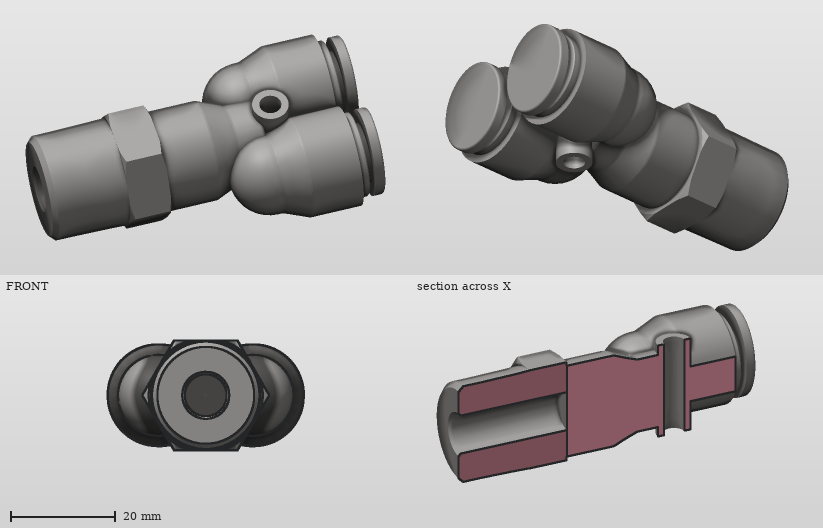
import cadquery as cq
import math


thread_length = 15.0
thread_base_diameter = 20.95
thread_taper = 1 / 32
thread_chamfer_length = 1.0
thread_chamfer_depth = 1.0
bore_diameter = 8.0
bore_chamfer = 0.5
hex_across_flats = 21.0
hex_length = 8.1
hex_chamfer_diameter = 21.8
hex_chamfer_angle = 25.0

barrel_diameter = 19.5
neck_diameter = 15.5
branch_offset = 9.0
barrel_length = 10.0
cone_length = 5.0
stem_neck_length = 5.8
stem_neck_fillet = 0.8
branch_neck_length = 1.0
blend_radius = 1.0
dome_above_stem_cone = 5.0
boss_diameter = 7.0
boss_hole_diameter = 4.2
boss_above_dome = 2.9

ring_diameter = 16.5
ring_length = 1.7
ring_chamfer = 0.2
collar_neck_diameter = 11.7
collar_neck_length = 1.2
flange_width = 16.0
flange_height = 18.5
flange_length = 2.0
flange_fillet = 0.4

housing_start = thread_length + hex_length
stem_cone_start = housing_start + barrel_length
stem_neck_start = stem_cone_start + cone_length
dome_centre = stem_neck_start + dome_above_stem_cone
branch_cone_start = dome_centre + branch_neck_length
branch_barrel_start = branch_cone_start + cone_length
housing_end = branch_barrel_start + barrel_length
ring_end = housing_end + ring_length
flange_start = ring_end + collar_neck_length


def revolve_about_y(profile):
    """Close a half profile drawn in XY and turn it about the Y axis."""
    return profile.close().revolve(360, (0, 0, 0), (0, 1, 0))


def disc(diameter, start, length):
    """Cylinder on the Y axis that begins at Y = start."""
    plane = cq.Plane(origin=(0, start, 0), xDir=(1, 0, 0), normal=(0, 1, 0))
    return cq.Workplane(plane).circle(diameter / 2).extrude(length)


def round_edges_at(body, stations):
    """Blend the circular edges lying at the given Y stations."""
    tolerance = 0.01
    reach = barrel_diameter
    for station in stations:
        picker = cq.selectors.BoxSelector(
            (-reach, station - tolerance, -reach), (reach, station + tolerance, reach)
        )
        body = body.edges("%CIRCLE").edges(picker).fillet(blend_radius)
    return body


def make_stem():
    """Barrel, cone and neck that lead from the stud to the branches."""
    barrel_radius = barrel_diameter / 2
    neck_radius = neck_diameter / 2
    stem_end = stem_neck_start + stem_neck_length
    stem = revolve_about_y(
        cq.Workplane("XY")
        .moveTo(0, housing_start)
        .lineTo(barrel_radius, housing_start)
        .lineTo(barrel_radius, stem_cone_start)
        .lineTo(neck_radius, stem_neck_start)
        .lineTo(neck_radius, stem_end)
        .lineTo(0, stem_end)
    )
    stem = round_edges_at(stem, [stem_cone_start, stem_neck_start])
    return stem.faces(">Y").edges().fillet(stem_neck_fillet)


def make_branch():
    """Domed branch on the Y axis: dome, short neck, cone and barrel."""
    barrel_radius = barrel_diameter / 2
    neck_radius = neck_diameter / 2
    diagonal = neck_radius * math.sqrt(0.5)
    branch = revolve_about_y(
        cq.Workplane("XY")
        .moveTo(0, dome_centre - neck_radius)
        .threePointArc((diagonal, dome_centre - diagonal), (neck_radius, dome_centre))
        .lineTo(neck_radius, branch_cone_start)
        .lineTo(barrel_radius, branch_barrel_start)
        .lineTo(barrel_radius, housing_end)
        .lineTo(0, housing_end)
    )
    return round_edges_at(branch, [branch_cone_start, branch_barrel_start])


def make_housing():
    """Stem with two branches and a through-drilled mounting boss between them."""
    branch = make_branch()
    housing = make_stem()
    for side in (-1, 1):
        housing = housing.union(branch.translate((side * branch_offset, 0, 0)))
    boss_plane = cq.Workplane("XY").center(0, dome_centre + boss_above_dome)
    boss = boss_plane.circle(boss_diameter / 2).extrude(barrel_diameter / 2, both=True)
    hole = boss_plane.circle(boss_hole_diameter / 2).extrude(barrel_diameter, both=True)
    return housing.union(boss).cut(hole)


def make_hex():
    """Hexagon with flats facing up and down and its corners chamfered at both ends."""
    across_corners = hex_across_flats / math.cos(math.radians(30))
    plane = cq.Plane(origin=(0, thread_length, 0), xDir=(1, 0, 0), normal=(0, 1, 0))
    prism = cq.Workplane(plane).polygon(6, across_corners).extrude(hex_length)
    end_radius = hex_chamfer_diameter / 2
    corner_radius = across_corners / 2
    corner_drop = (corner_radius - end_radius) * math.tan(math.radians(hex_chamfer_angle))
    envelope = revolve_about_y(
        cq.Workplane("XY")
        .moveTo(0, thread_length)
        .lineTo(end_radius, thread_length)
        .lineTo(corner_radius, thread_length + corner_drop)
        .lineTo(corner_radius, housing_start - corner_drop)
        .lineTo(end_radius, housing_start)
        .lineTo(0, housing_start)
    )
    return prism.intersect(envelope)


def make_stud():
    """Tapered thread envelope and hex, bored right through."""
    base_radius = thread_base_diameter / 2
    tip_radius = base_radius - thread_taper * (thread_length - thread_chamfer_length) / 2
    thread = revolve_about_y(
        cq.Workplane("XY")
        .lineTo(tip_radius - thread_chamfer_depth, 0)
        .lineTo(tip_radius, thread_chamfer_length)
        .lineTo(base_radius, thread_length)
        .lineTo(0, thread_length)
    )
    bore_radius = bore_diameter / 2
    bore = revolve_about_y(
        cq.Workplane("XY")
        .lineTo(bore_radius + bore_chamfer, 0)
        .lineTo(bore_radius, bore_chamfer)
        .lineTo(bore_radius, housing_start)
        .lineTo(0, housing_start)
    )
    return thread.union(make_hex()).cut(bore)


def make_ring(x):
    """Ring seated on the end face of one branch."""
    ring = disc(ring_diameter, housing_end, ring_length)
    return ring.faces(">Y").edges().chamfer(ring_chamfer).translate((x, 0, 0))


def make_collar(x):
    """Release collar: round neck under an oval flange."""
    neck = disc(collar_neck_diameter, ring_end, collar_neck_length)
    plane = cq.Plane(origin=(0, flange_start, 0), xDir=(1, 0, 0), normal=(0, 1, 0))
    flange = cq.Workplane(plane).ellipse(flange_width / 2, flange_height / 2).extrude(flange_length)
    flange = flange.faces(">Y").edges().fillet(flange_fillet)
    return neck.union(flange).translate((x, 0, 0))


housing = make_housing()
stud = make_stud()
rings = []
collars = []
for branch_x in (-branch_offset, branch_offset):
    rings.append(make_ring(branch_x).val())
    collars.append(make_collar(branch_x).val())

result = cq.Compound.makeCompound([housing.val(), stud.val(), *rings, *collars])